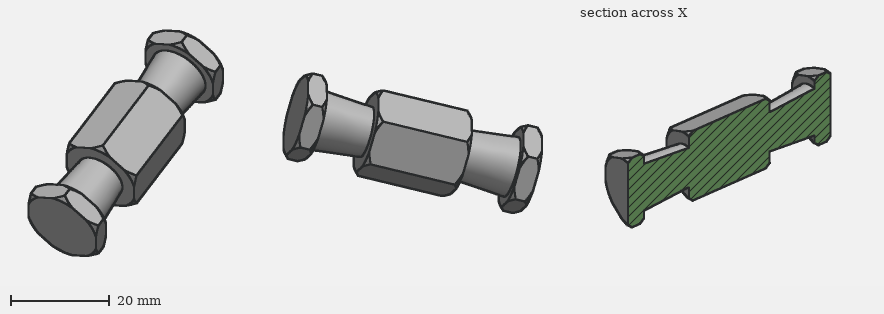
import cadquery as cq
import math

total_length = 50.0
nut_length = 20.0
head_length = 4.0
neck_length = (total_length - nut_length) / 2 - head_length

across_flats = 16.0
hex_sides = 6
across_corners = across_flats / math.cos(math.pi / hex_sides)
corner_chamfer = 1.0

neck_diameter_at_nut = 10.5
neck_diameter_at_head = 12.5


def chamfered_hex(length):
    """Hexagonal bar along Y, centred on the origin, with both ends turned to a 45 degree cone."""
    bar = (
        cq.Workplane("XZ")
        .polygon(hex_sides, across_corners)
        .extrude(length / 2, both=True)
        .rotate((0, 0, 0), (0, 1, 0), 90)
    )
    turned_blank = (
        cq.Workplane("XZ")
        .circle(across_corners / 2)
        .extrude(length / 2, both=True)
        .edges("%CIRCLE")
        .chamfer(corner_chamfer)
    )
    return bar.intersect(turned_blank)


def tapered_neck():
    """Cone on the +Y side that widens from the nut face to the head."""
    y_nut = nut_length / 2
    y_head = y_nut + neck_length
    return (
        cq.Workplane("YZ")
        .moveTo(y_nut, 0)
        .lineTo(y_nut, neck_diameter_at_nut / 2)
        .lineTo(y_head, neck_diameter_at_head / 2)
        .lineTo(y_head, 0)
        .close()
        .revolve(360, (0, 0, 0), (1, 0, 0))
    )


def neck_and_head():
    """Neck and end head on the +Y side."""
    head_center_y = (total_length - head_length) / 2
    head = chamfered_hex(head_length).translate((0, head_center_y, 0))
    return tapered_neck().union(head)


end_piece = neck_and_head()
result = chamfered_hex(nut_length).union(end_piece).union(end_piece.mirror("XZ"))